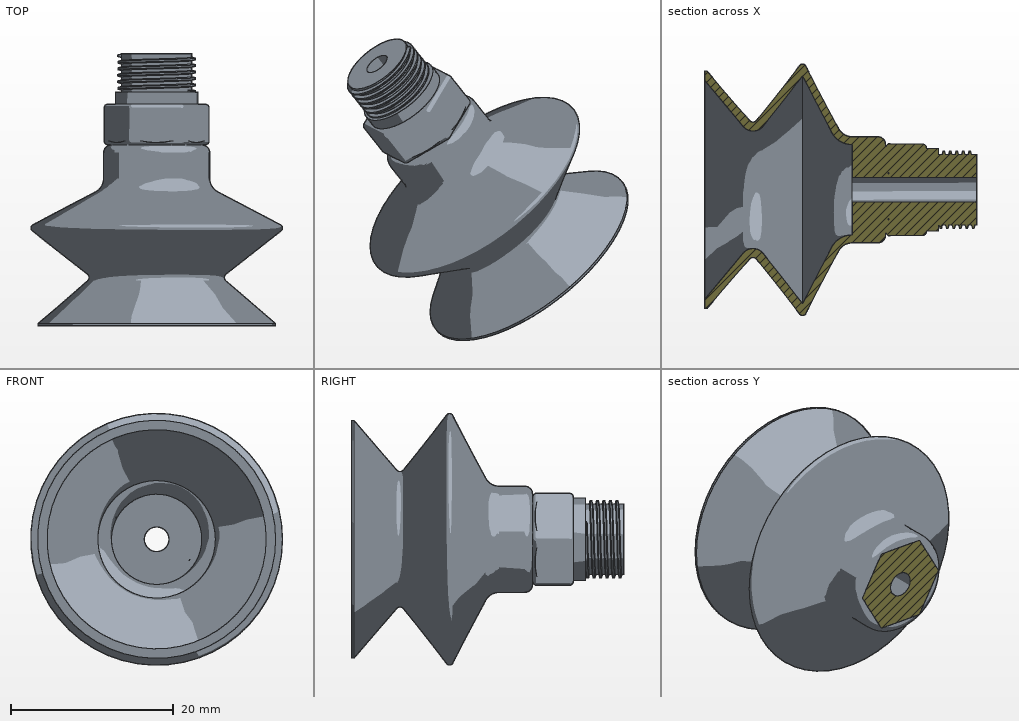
import math

import cadquery as cq


LENGTH = 33.5
WALL = 1.0

LIP_OUTER_R = 14.64
LIP_INNER_R = 13.48
LIP_EDGE_HEIGHT = 0.3

WAIST_Y = 5.96
WAIST_OUTER_R = 8.35
WAIST_BAND_R = 8.5
WAIST_BAND_HEIGHT = 0.75
WAIST_INNER_R = 7.22
WAIST_INNER_ROUND = 1.6

FOLD_R = 15.5
FOLD_Y = 12.05
FOLD_ROUND = 0.45
FOLD_INNER_TIP_R = 14.0

NECK_R = 6.55
NECK_START_Y = 18.14
NECK_TOP_Y = 22.28
NECK_TOP_ROUND = 1.0
NECK_FLARE_ROUND = 1.85

HEX_ACROSS_FLATS = 11.34
HEX_START_Y = NECK_TOP_Y
HEX_END_Y = 27.3
HEX_ROUND = 0.5
HEX_CONE_DEPTH = 0.3
HEX_CONE_ANGLE = math.radians(30)

COLLAR_R = 10.2 / 2
COLLAR_END_Y = 28.78
CORE_R = 8.7 / 2
BORE_R = 3.0 / 2

THREAD_CREST_R = 9.57 / 2
THREAD_PITCH = 0.8
THREAD_START_DEPTH = 0.26
THREAD_BASE_WIDTH = 0.5
THREAD_CREST_WIDTH = 0.2
THREAD_ROOT_OVERLAP = 0.1


def polar(center, radius, angle):
    return (center[0] + radius * math.cos(angle), center[1] + radius * math.sin(angle))


def tangent_from(point, center, radius, side):
    """Touch point on a circle of the tangent line from an outside point.

    side is +1 or -1 and picks one of the two tangents.
    """
    dx = point[0] - center[0]
    dy = point[1] - center[1]
    angle = math.atan2(dy, dx) + side * math.acos(radius / math.hypot(dx, dy))
    return polar(center, radius, angle)


def crossing_tangent(center_a, radius_a, center_b, radius_b, side):
    """Touch points of the line that passes between two circles and touches both."""
    dx = center_b[0] - center_a[0]
    dy = center_b[1] - center_a[1]
    angle = math.atan2(dy, dx) + side * math.acos((radius_a + radius_b) / math.hypot(dx, dy))
    return polar(center_a, radius_a, angle), polar(center_b, radius_b, angle + math.pi)


def revolve_about_y(profile):
    return profile.close().revolve(360, (0, 0, 0), (0, 1, 0))


def cylinder(radius, start_y, end_y):
    return cq.Workplane("XZ", origin=(0, start_y, 0)).circle(radius).extrude(start_y - end_y)


def make_cup():
    fold_center = (FOLD_R - FOLD_ROUND, FOLD_Y)
    flare_center = (NECK_R + NECK_FLARE_ROUND, NECK_START_Y)
    waist_low = (WAIST_BAND_R, WAIST_Y - WAIST_BAND_HEIGHT / 2)
    waist_high = (WAIST_BAND_R, WAIST_Y + WAIST_BAND_HEIGHT / 2)
    fold_low = tangent_from(waist_high, fold_center, FOLD_ROUND, 1)
    fold_high, flare_start = crossing_tangent(
        fold_center, FOLD_ROUND, flare_center, NECK_FLARE_ROUND, -1
    )
    flare_start_angle = math.atan2(
        flare_start[1] - flare_center[1], flare_start[0] - flare_center[0]
    ) % math.tau
    flare_middle_angle = (flare_start_angle + math.pi) / 2
    top_round_center = (NECK_R - NECK_TOP_ROUND, NECK_TOP_Y - NECK_TOP_ROUND)

    outer = (
        cq.Workplane("XY")
        .moveTo(0, 0)
        .lineTo(LIP_OUTER_R, 0)
        .lineTo(LIP_OUTER_R, LIP_EDGE_HEIGHT)
        .lineTo(*waist_low)
        .threePointArc((WAIST_OUTER_R, WAIST_Y), waist_high)
        .lineTo(*fold_low)
        .threePointArc((FOLD_R, FOLD_Y), fold_high)
        .lineTo(*flare_start)
        .threePointArc(
            polar(flare_center, NECK_FLARE_ROUND, flare_middle_angle), (NECK_R, NECK_START_Y)
        )
        .lineTo(NECK_R, top_round_center[1])
        .threePointArc(
            polar(top_round_center, NECK_TOP_ROUND, math.pi / 4), (top_round_center[0], NECK_TOP_Y)
        )
        .lineTo(0, NECK_TOP_Y)
    )

    lip_start = (LIP_INNER_R, 0)
    fold_tip = (FOLD_INNER_TIP_R, FOLD_Y)
    waist_center = (WAIST_INNER_R + WAIST_INNER_ROUND, WAIST_Y)
    inner_flare_round = NECK_FLARE_ROUND + WALL
    waist_inner_low = tangent_from(lip_start, waist_center, WAIST_INNER_ROUND, -1)
    waist_inner_high = tangent_from(fold_tip, waist_center, WAIST_INNER_ROUND, 1)
    inner_flare_start = tangent_from(fold_tip, flare_center, inner_flare_round, -1)

    cavity = (
        cq.Workplane("XY")
        .moveTo(0, 0)
        .lineTo(*lip_start)
        .lineTo(*waist_inner_low)
        .threePointArc((WAIST_INNER_R, WAIST_Y), waist_inner_high)
        .lineTo(*fold_tip)
        .lineTo(*inner_flare_start)
        .threePointArc(
            polar(flare_center, inner_flare_round, flare_middle_angle), (NECK_R - WALL, NECK_START_Y)
        )
        .lineTo(0, NECK_START_Y)
    )
    return revolve_about_y(outer).cut(revolve_about_y(cavity))


def make_hexagon():
    across_corners = HEX_ACROSS_FLATS / math.cos(math.pi / 6)
    prism = (
        cq.Workplane("XZ", origin=(0, HEX_START_Y, 0))
        .polygon(6, across_corners)
        .extrude(HEX_START_Y - HEX_END_Y)
        .edges("|Y")
        .fillet(HEX_ROUND)
        .faces(">Y")
        .edges()
        .fillet(HEX_ROUND)
    )
    rounded = prism.faces("<Y").edges().fillet(HEX_ROUND)
    cone_mid_flat_y = HEX_START_Y + HEX_CONE_DEPTH
    cone_slope = math.tan(HEX_CONE_ANGLE)
    cone_start_r = HEX_ACROSS_FLATS / 2 - HEX_CONE_DEPTH / cone_slope
    cone_end_y = cone_mid_flat_y + (across_corners - HEX_ACROSS_FLATS) / 2 * cone_slope
    envelope = (
        cq.Workplane("XY")
        .moveTo(0, HEX_START_Y)
        .lineTo(cone_start_r, HEX_START_Y)
        .lineTo(across_corners / 2, cone_end_y)
        .lineTo(across_corners / 2, HEX_END_Y)
        .lineTo(0, HEX_END_Y)
    )
    turned = prism.intersect(revolve_about_y(envelope))
    return rounded.union(turned)


def make_thread_ridge():
    """Ridge built along +Z with its start on +X, then turned to run towards -Y from -X."""
    root_r = CORE_R - THREAD_ROOT_OVERLAP
    height = LENGTH - COLLAR_END_Y - THREAD_START_DEPTH
    helix = cq.Wire.makeHelix(THREAD_PITCH, height, root_r)
    ridge = (
        cq.Workplane("XZ")
        .moveTo(root_r, -THREAD_BASE_WIDTH / 2)
        .lineTo(THREAD_CREST_R, -THREAD_CREST_WIDTH / 2)
        .lineTo(THREAD_CREST_R, THREAD_CREST_WIDTH / 2)
        .lineTo(root_r, THREAD_BASE_WIDTH / 2)
        .close()
        .sweep(cq.Workplane(helix), isFrenet=True)
    )
    return (
        ridge.rotate((0, 0, 0), (0, 0, 1), 180)
        .rotate((0, 0, 0), (1, 0, 0), 90)
        .translate((0, LENGTH - THREAD_START_DEPTH, 0))
    )


collar = cylinder(COLLAR_R, HEX_END_Y, COLLAR_END_Y)
core = cylinder(CORE_R, COLLAR_END_Y, LENGTH)
stud = collar.union(core).union(make_thread_ridge())
bore = cylinder(BORE_R, 0, LENGTH)

result = make_cup().union(make_hexagon()).union(stud).cut(bore)